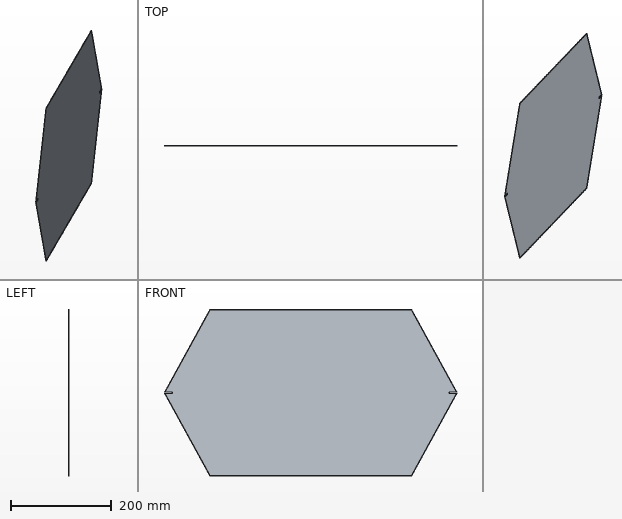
import cadquery as cq

THICKNESS = 0.8
HEIGHT = 330.0
TOP_EDGE_LENGTH = 400.0
TIP_TO_TIP = 581.0
SLOT_WIDTH = 2.54
SLOT_DEPTH = 15.5

HALF_HEIGHT = HEIGHT / 2
HALF_TOP_EDGE = TOP_EDGE_LENGTH / 2
TIP_X = TIP_TO_TIP / 2


def hexagonal_plate():
    """Flat elongated hexagon in the XZ plane, centred on the origin through its thickness."""
    corners = [
        (-TIP_X, 0),
        (-HALF_TOP_EDGE, HALF_HEIGHT),
        (HALF_TOP_EDGE, HALF_HEIGHT),
        (TIP_X, 0),
        (HALF_TOP_EDGE, -HALF_HEIGHT),
        (-HALF_TOP_EDGE, -HALF_HEIGHT),
    ]
    return cq.Workplane("XZ").polyline(corners).close().extrude(THICKNESS / 2, both=True)


def tip_slot(side):
    """Narrow through slot running inward from one tip; side is -1 for -X and +1 for +X."""
    return cq.Workplane("XY").box(2 * SLOT_DEPTH, 2 * THICKNESS, SLOT_WIDTH).translate((side * TIP_X, 0, 0))


result = hexagonal_plate()
for side in (-1, 1):
    result = result.cut(tip_slot(side))